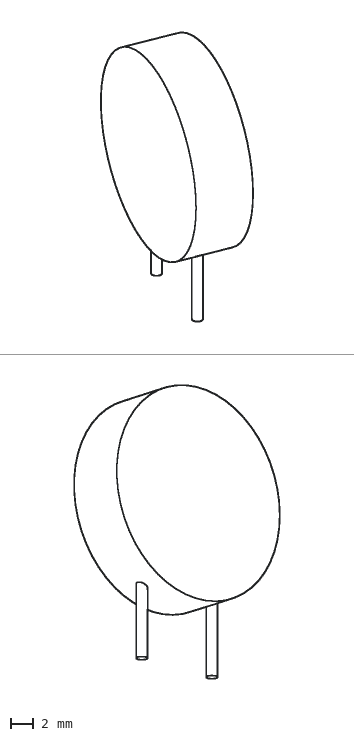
import cadquery as cq

total_height = 25.28
body_diameter = 19.57
body_thickness = 5.59
lead_diameter = 1.0
lead_spacing = 8.4

body_radius = body_diameter / 2
lead_tip_z = body_radius - total_height


def make_body():
    """Flat round disc standing on edge."""
    return cq.Workplane("XZ").circle(body_radius).extrude(body_thickness / 2, both=True)


def make_lead(x):
    """Straight round lead from its tip up to mid-height, so that its top is buried in the disc."""
    return (
        cq.Workplane("XY", origin=(x, 0, lead_tip_z))
        .circle(lead_diameter / 2)
        .extrude(-lead_tip_z)
    )


result = make_body()
for side in (-1, 1):
    result = result.union(make_lead(side * lead_spacing / 2))